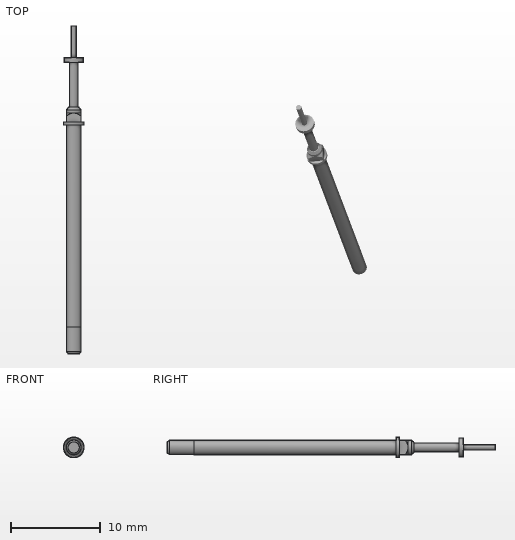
import cadquery as cq

total_length = 36.56

barrel_diameter = 1.65
barrel_length = 25.5
barrel_end_chamfer_length = 0.27
barrel_end_face_diameter = 1.25

tip_section_length = 3.0
tip_section_diameter = 1.63

collar_diameter = 2.3
collar_length = 0.37

square_length = 0.98
square_width = barrel_diameter
square_lead_length = 0.3

round_length = 0.36
nose_length = 0.3
nose_diameter = 1.15

neck_diameter = 1.0
flange_diameter = 2.12
flange_length = 0.52
tail_diameter = 0.6
tail_length = 3.54

barrel_end_y = -barrel_length
tip_section_y = barrel_end_y + tip_section_length
collar_top_y = collar_length
square_top_y = collar_top_y + square_length
round_top_y = square_top_y + round_length
nose_top_y = round_top_y + nose_length
tail_end_y = barrel_end_y + total_length
flange_top_y = tail_end_y - tail_length
flange_bottom_y = flange_top_y - flange_length


def turned_section(y_start, y_end, diameter_start, diameter_end=None):
    """Cylinder, or cone when two diameters are given, along the Y axis."""
    radius_start = diameter_start / 2
    radius_end = radius_start if diameter_end is None else diameter_end / 2
    profile = (
        cq.Workplane("XY")
        .moveTo(0, y_start)
        .lineTo(radius_start, y_start)
        .lineTo(radius_end, y_end)
        .lineTo(0, y_end)
        .close()
    )
    return profile.revolve(360, (0, 0, 0), (0, 1, 0))


def barrel():
    """Long round barrel whose last stretch is slightly slimmer and chamfered."""
    main = turned_section(tip_section_y, 0, barrel_diameter)
    chamfer_y = barrel_end_y + barrel_end_chamfer_length
    tip = turned_section(chamfer_y, tip_section_y, tip_section_diameter)
    chamfer = turned_section(barrel_end_y, chamfer_y, barrel_end_face_diameter, tip_section_diameter)
    return main.union(tip).union(chamfer)


def square_shank():
    """Square shank above the collar, its corners turned down by a cone."""
    blank = cq.Workplane("XY").box(square_width, square_length, square_width, centered=(True, False, True))
    blank = blank.translate((0, collar_top_y, 0))
    cone_start_y = square_top_y - square_lead_length
    envelope = turned_section(collar_top_y, cone_start_y, collar_diameter).union(
        turned_section(cone_start_y, square_top_y, collar_diameter, square_width)
    )
    return blank.intersect(envelope)


collar = turned_section(0, collar_top_y, collar_diameter)
round_shank = turned_section(square_top_y, round_top_y, barrel_diameter)
nose = turned_section(round_top_y, nose_top_y, barrel_diameter, nose_diameter)
neck = turned_section(nose_top_y, flange_bottom_y, neck_diameter)
flange = turned_section(flange_bottom_y, flange_top_y, flange_diameter)
tail = turned_section(flange_top_y, tail_end_y, tail_diameter)

result = barrel()
for section in (collar, square_shank(), round_shank, nose, neck, flange, tail):
    result = result.union(section)